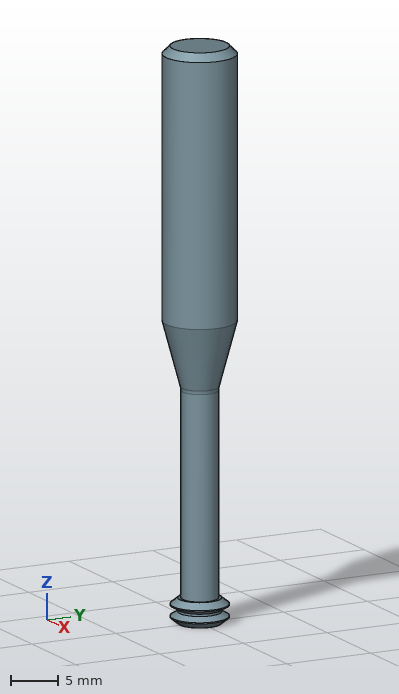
import cadquery as cq
import math

total_length = 63.0
shank_radius = 8.0 / 2
shank_chamfer = 0.85
shank_bottom = 33.0

neck_radius = 4.05 / 2
cone_half_angle = math.radians(15)
blend_radius = 1.5

head_height = 2.8
root_radius = 4.65 / 2
ring_radius = 6.3 / 2
ring_pitch = 1.3
crest_width = 0.1
groove_floor_width = 0.25


def blend_points():
    """Start, middle and end (r, z) of the arc tangent to the neck and the cone."""
    center_r = neck_radius + blend_radius
    corner_drop = blend_radius * math.tan(cone_half_angle / 2)
    cone_height = (shank_radius - neck_radius) / math.tan(cone_half_angle)
    center_z = shank_bottom - cone_height - corner_drop
    angles = (0, cone_half_angle / 2, cone_half_angle)
    return [
        (center_r - blend_radius * math.cos(a), center_z + blend_radius * math.sin(a))
        for a in angles
    ]


def make_body():
    """Revolve the shank, cone and neck as one profile."""
    blend_start, blend_middle, blend_end = blend_points()
    profile = (
        cq.Workplane("XZ")
        .moveTo(0, 0)
        .lineTo(neck_radius, 0)
        .lineTo(*blend_start)
        .threePointArc(blend_middle, blend_end)
        .lineTo(shank_radius, shank_bottom)
        .lineTo(shank_radius, total_length - shank_chamfer)
        .lineTo(shank_radius - shank_chamfer, total_length)
        .lineTo(0, total_length)
        .close()
    )
    return profile.revolve(360, (0, 0, 0), (0, 1, 0))


def make_head():
    """Revolve both rings as one profile, symmetric about the middle of the groove."""
    middle_z = head_height / 2
    half_profile = [
        (root_radius, groove_floor_width / 2),
        (ring_radius, (ring_pitch - crest_width) / 2),
        (ring_radius, (ring_pitch + crest_width) / 2),
        (root_radius, middle_z),
        (0, middle_z),
    ]
    upper = [(r, middle_z + offset) for r, offset in half_profile]
    lower = [(r, middle_z - offset) for r, offset in reversed(half_profile)]
    profile = cq.Workplane("XZ").polyline(lower + upper).close()
    return profile.revolve(360, (0, 0, 0), (0, 1, 0))


result = make_body().union(make_head())